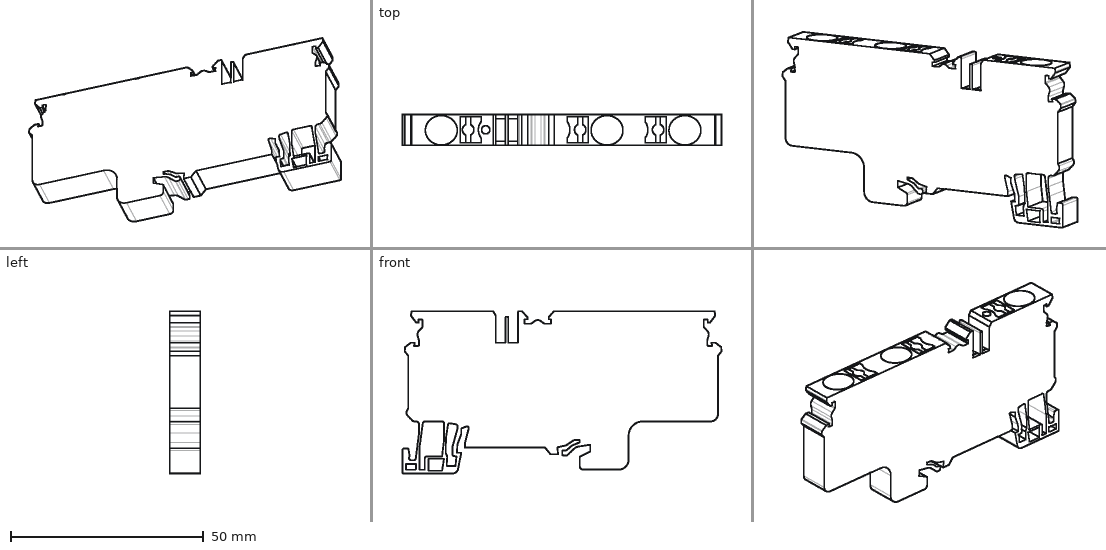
import cadquery as cq
import math

width = 8.0
height = 42.2

body_left = 1.5
body_right = 81.9
body_middle = (body_left + body_right) / 2
body_bottom = 13.5
belly_bottom = 6.7
heel_left = 46.0
heel_right = 58.7
heel_bottom = 1.0
gap_left = 15.3
gap_right = 16.2

slot_left = 24.3
slot_right = 30.0
slot_floor = 34.0
fin_left = 26.8
fin_right = 27.5
fin_top = 40.8
fin_round = 0.3

foot_bottom = 0.0
cell_bottom = 1.0
stem_left = 4.3

mark_depth = 0.1
mark_middle = width / 2
entry_radius_x = 4.15
entry_radius_y = 3.8
entry_middle = 3.9
plate_gap = 4.9
plate_length = 5.5
plate_width = 6.7
keyhole_offset = 2.1
keyhole_radius = 1.5
keyhole_slit = 1.25
bite_depth = 0.75
bite_half_width = 2.15
pin_hole_x = 21.6
pin_hole_radius = 1.1
floor_mark_width = 5.8

wire_entries = [(10.1, 1), (53.1, -1), (73.3, -1)]


def prism(corners):
    """Extrude a closed XZ outline over the width. A corner is (x, z) or (x, z, rounding radius)."""
    points = [cq.Vector(corner[0], corner[1], 0) for corner in corners]
    path = cq.Workplane("XZ")
    for i, corner in enumerate(corners):
        radius = corner[2] if len(corner) > 2 else 0
        to_last = (points[i - 1] - points[i]).normalized()
        to_next = (points[(i + 1) % len(points)] - points[i]).normalized()
        half_angle = to_last.getAngle(to_next) / 2
        setback = radius / math.tan(half_angle)
        start = points[i] + to_last * setback
        path = path.moveTo(start.x, start.y) if i == 0 else path.lineTo(start.x, start.y)
        if radius:
            bisector = (to_last + to_next).normalized()
            middle = points[i] + bisector * (radius / math.sin(half_angle) - radius)
            end = points[i] + to_next * setback
            path = path.threePointArc((middle.x, middle.y), (end.x, end.y))
    return path.close().extrude(-width)



latching_end = [
    (body_left, 30.6),
    (0.6, 31.7),
    (0.7, 32.8, 0.25),
    (2.15, 34.0),
    (3.2, 34.0),
    (3.1, 33.1),
    (4.3, 33.1, 0.3),
    (4.3, 34.5),
    (3.7, 36.45, 1.3),
    (5.2, 38.0, 0.4),
    (5.2, 39.9, 0.2),
    (4.2, 39.9),
    (4.2, 39.2),
    (3.6, 39.2),
    (2.2, 40.9),
    (2.2, 41.35),
    (2.4, height),
]
latching_end_right = [(2 * body_middle - x, *rest) for x, *rest in reversed(latching_end)]

slots = [
    (23.5, height),
    (slot_left, 41.0),
    (slot_left, slot_floor),
    (fin_left, slot_floor),
    (fin_left, fin_top, fin_round),
    (fin_right, fin_top, fin_round),
    (fin_right, slot_floor),
    (slot_right, slot_floor),
    (slot_right, height, 0.3),
]

marker_seat = [
    (31.0, height),
    (32.6, 40.5),
    (32.5, 40.0),
    (31.7, 40.0),
    (31.7, 38.9),
    (33.5, 38.9, 0.4),
    (35.1, 40.2, 1.25),
    (36.8, 38.9, 0.4),
    (38.5, 38.9),
    (38.5, 40.0),
    (37.95, 40.0),
    (37.95, 40.6),
    (39.35, height),
]

heel = [
    (body_right, body_bottom, 2.0),
    (heel_right, body_bottom, 3.65),
    (heel_right, heel_bottom, 2.65),
    (heel_left, heel_bottom, 1.0),
    (heel_left, 4.4, 0.4),
    (48.7, 5.7),
]

rail_finger = [
    (48.7, 7.45),
    (45.1, 6.9, 2.1),
    (42.7, 4.6, 0.25),
    (41.4, 4.6, 0.5),
    (41.4, 6.05, 0.4),
    (42.6, 6.05, 0.3),
    (44.0, 7.3, 1.65),
    (46.0, 8.1),
    (46.0, 8.7),
    (44.6, 8.7, 1.25),
    (42.5, 7.3, 1.65),
    (40.3, 6.8),
]

belly = [
    (40.4, 5.0),
    (38.45, 5.0),
    (37.0, belly_bottom),
    (gap_right, belly_bottom),
    (gap_right, 8.0),
    (17.4, 12.5, 0.4),
    (gap_left, 11.7),
    (gap_left, 10.3),
    (14.3, 7.6),
    (14.2, 5.5),
    (gap_left, 5.5),
]

foot = [
    (14.25, foot_bottom, 1.5),
    (0.0, foot_bottom, 0.3),
    (0.0, 6.55, 0.5),
    (1.6, 6.55, 0.3),
    (1.9, 4.7),
    (1.65, 3.5, 0.5),
    (3.4, 3.5, 0.5),
    (4.0, 8.1),
    (stem_left, 10.6),
    (stem_left, body_bottom, 0.75),
    (2.8, body_bottom, 0.8),
    (0.75, 15.7, 1.2),
    (body_left, 16.9),
]

outline = (
    latching_end + slots + marker_seat + latching_end_right + heel + rail_finger + belly + foot
)

tall_window = [
    (5.4, body_bottom, 0.5),
    (10.8, body_bottom, 0.4),
    (10.8, 8.6),
    (10.3, 4.5),
    (5.8, 4.5, 0.6),
    (5.8, cell_bottom),
    (4.5, cell_bottom),
    (4.5, 6.7),
]
middle_cell = [
    (6.8, 3.8),
    (10.8, 3.8),
    (10.3, 0.75),
    (6.8, 0.75),
]
left_cell = [
    (1.0, 2.5),
    (3.5, 2.5),
    (3.5, cell_bottom, 0.25),
    (1.0, cell_bottom),
]
curved_window = [
    (11.9, 13.1, 0.4),
    (14.3, 12.7, 0.5),
    (14.25, 11.6),
    (13.0, 7.05),
    (13.0, 4.6, 0.25),
    (14.0, 4.4),
    (13.75, 2.0),
    (11.5, 2.0),
    (11.7, 4.4),
    (11.3, 5.4),
    (11.35, 9.3),
]


def wire_entry(x):
    ellipse = cq.Workplane("XY", origin=(x, entry_middle, height)).ellipse(entry_radius_x, entry_radius_y)
    return ellipse.extrude(-mark_depth)


def keyhole_plate(entry_x, side):
    """A bitten plate sunk by one mark depth, with a keyhole slit sunk one depth further."""
    near = entry_x + side * plate_gap
    far = near + side * plate_length
    half_width = plate_width / 2
    plane = cq.Workplane("XY", origin=(0, mark_middle, height))
    plate = (
        plane.moveTo(near, -half_width)
        .lineTo(far, -half_width)
        .lineTo(far, -bite_half_width)
        .threePointArc((far - side * bite_depth, 0), (far, bite_half_width))
        .lineTo(far, half_width)
        .lineTo(near, half_width)
        .close()
        .extrude(-mark_depth)
    )
    keyhole_plane = plane.center(near + side * keyhole_offset, 0)
    slit = keyhole_plane.rect(keyhole_slit, plate_width).extrude(-2 * mark_depth)
    eye = keyhole_plane.circle(keyhole_radius).extrude(-2 * mark_depth)
    return plate.union(slit).union(eye)


def pin_hole():
    plane = cq.Workplane("XY", origin=(pin_hole_x, mark_middle, height))
    return plane.circle(pin_hole_radius).extrude(-mark_depth)


def slot_floor_mark(left, right):
    middle = (left + right) / 2
    mark = cq.Workplane("XY", origin=(middle, mark_middle, slot_floor)).rect(right - left, floor_mark_width)
    return mark.extrude(-mark_depth)


block = prism(outline)
for window in (tall_window, middle_cell, left_cell, curved_window):
    block = block.cut(prism(window))
for entry_x, plate_side in wire_entries:
    block = block.cut(wire_entry(entry_x))
    block = block.cut(keyhole_plate(entry_x, plate_side))
block = block.cut(pin_hole())
block = block.cut(slot_floor_mark(slot_left, fin_left))
block = block.cut(slot_floor_mark(fin_right, slot_right))

result = block